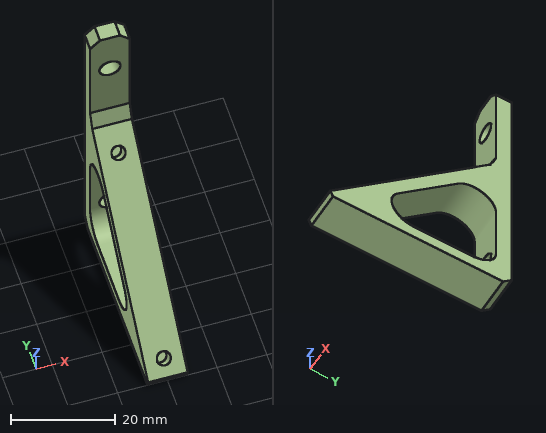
import cadquery as cq
import math

WIDTH = 8.0
HEIGHT = 64.0
REACH = 40.8

WALL = 3.5
SLOPE_SUM = 42.25
BEND_REACH = 4.9
STEEP_ANGLE = 67.5
CORNER_CHAMFER = 2.0

WINDOW_RADIUS = 5.0
WINDOW_SUM = 37.6

MOUNT_DIAMETER = 4.2
MOUNT_HEIGHTS = (10.0, 53.95)

SLOPE_HOLE_DIAMETER = 2.75
SLOPE_HOLE_DEPTH = 4.0
SLOPE_HOLE_REACHES = (9.0, 38.1)

STEEP_RATIO = math.tan(math.radians(STEEP_ANGLE))


def side_prism(points):
    """Extrude a (reach, height) outline across the width, centred on X = 0."""
    outline = [(-reach, height) for reach, height in points]
    return cq.Workplane("YZ").polyline(outline).close().extrude(WIDTH / 2, both=True)


def make_body():
    """Bracket outline with a chamfered heel, a steep toe face and a chamfered top."""
    bend_height = SLOPE_SUM - BEND_REACH
    toe_height = SLOPE_SUM - REACH
    bracket = side_prism([
        (CORNER_CHAMFER, 0),
        (REACH - toe_height / STEEP_RATIO, 0),
        (REACH, toe_height),
        (BEND_REACH, bend_height),
        (WALL, bend_height + (BEND_REACH - WALL) * STEEP_RATIO),
        (WALL, HEIGHT),
        (0, HEIGHT),
        (0, CORNER_CHAMFER),
    ])
    return bracket.faces(">Z").edges("|Y").chamfer(CORNER_CHAMFER)


def make_window():
    far_corner = WINDOW_SUM - WALL
    triangle = side_prism([(WALL, WALL), (far_corner, WALL), (WALL, far_corner)])
    return triangle.edges("|X").fillet(WINDOW_RADIUS)


def mount_hole(height):
    start = cq.Vector(0, 0, height)
    return cq.Solid.makeCylinder(MOUNT_DIAMETER / 2, WALL + WINDOW_RADIUS, start, cq.Vector(0, -1, 0))


def slope_hole(reach):
    start = cq.Vector(0, -reach, SLOPE_SUM - reach)
    return cq.Solid.makeCylinder(SLOPE_HOLE_DIAMETER / 2, SLOPE_HOLE_DEPTH, start, cq.Vector(0, 1, -1))


result = make_body().cut(make_window())
for hole_height in MOUNT_HEIGHTS:
    result = result.cut(cq.Workplane(mount_hole(hole_height)))
for hole_reach in SLOPE_HOLE_REACHES:
    result = result.cut(cq.Workplane(slope_hole(hole_reach)))